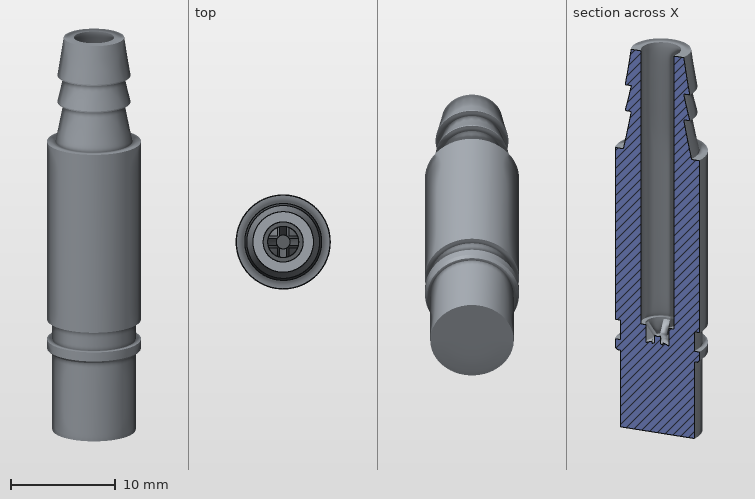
import cadquery as cq

total_height = 39.15
body_radius = 4.5
body_bottom = 11.0
body_top = 28.78

plug_radius = 4.0
collar_bottom = 7.9
collar_top = 9.05
collar_chamfer = 0.25

neck_radius = 2.9
barb_radius = 3.5
barb_base_radius = 3.68
barb_lip_height = 0.1
upper_barb_bottom = 35.35
lower_barb_bottom = 32.7

bore_radius = 1.9
bore_floor = body_bottom
seat_radius = 1.5
seat_rim_height = 0.2

core_radius = 0.65
core_height = 0.47

slot_count = 4
slot_width = 1.15
slot_depth = 0.98
rib_width = 0.65
rib_rise = 1.17

rib_top = bore_floor - seat_rim_height
core_top = rib_top - rib_rise
seat_floor = core_top - core_height
slot_floor = core_top - slot_depth


def revolve_outline(outline):
    """Full revolution about Z of an outline given as (radius, height) points."""
    return cq.Workplane("XZ").polyline(outline).close().revolve(360, (0, 0), (0, 1))


def make_outer_body():
    """Solid of revolution with the barbs, body, groove, collar and plug."""
    outline = [
        (0, 0),
        (plug_radius, 0),
        (plug_radius, collar_bottom),
        (body_radius - collar_chamfer, collar_bottom),
        (body_radius, collar_bottom + collar_chamfer),
        (body_radius, collar_top),
        (plug_radius, collar_top),
        (plug_radius, body_bottom),
        (body_radius, body_bottom),
        (body_radius, body_top),
        (barb_base_radius, body_top),
    ]
    for barb_bottom in (lower_barb_bottom, upper_barb_bottom):
        outline += [
            (neck_radius, barb_bottom),
            (barb_radius, barb_bottom),
            (barb_radius, barb_bottom + barb_lip_height),
        ]
    outline += [(neck_radius, total_height), (0, total_height)]
    return revolve_outline(outline)


def make_bore():
    """Bore and valve seat, leaving the conical core standing in the seat."""
    outline = [
        (0, core_top),
        (core_radius, core_top),
        (seat_radius, seat_floor),
        (seat_radius, bore_floor),
        (bore_radius, bore_floor),
        (bore_radius, total_height),
        (0, total_height),
    ]
    return revolve_outline(outline)


def make_radial_bars(width):
    """Bars of one width, one per slot, reaching out from the axis through the seat wall."""
    bar = cq.Workplane("XY").box(bore_radius, width, bore_floor, centered=(False, True, False))
    bars = bar
    for index in range(1, slot_count):
        bars = bars.union(bar.rotate((0, 0, 0), (0, 0, 1), index * 360 / slot_count))
    return bars


def make_slots():
    """Material removed from the core between its shallow cone and the steeper slot cone."""
    cone_gap = revolve_outline([
        (core_radius, core_top),
        (seat_radius, slot_floor),
        (seat_radius, seat_floor),
    ])
    return cone_gap.intersect(make_radial_bars(slot_width))


def make_ribs():
    """Ribs between the slot cone and the funnel, ending at the seat wall."""
    funnel_ring = revolve_outline([
        (core_radius, core_top),
        (core_radius, slot_floor),
        (seat_radius, slot_floor),
        (seat_radius, rib_top),
    ])
    return funnel_ring.intersect(make_radial_bars(rib_width))


result = make_outer_body().cut(make_bore()).cut(make_slots()).union(make_ribs())